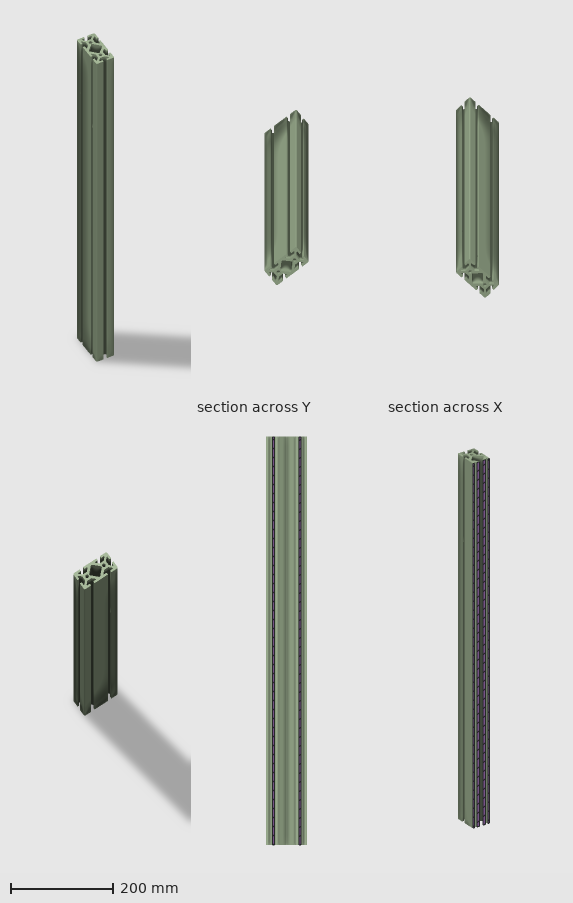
import cadquery as cq
import math

length = 800.0
cell = 40.0
width = 2 * cell
half_cell = cell / 2
outer_corner_radius = 2.6

slot_opening = 8.0
lip_thickness = 4.5
lip_radius = 1.0
chamber_width = 22.0

core_half = 8.0
bore_diameter = 7.0

web_offset = 3.0

diamond_reach = 15.6
diamond_corner_radius = 2.0


def slot(center_x, angle):
    """T-slot cutter opening towards +Y, turned by angle about the cell centre."""
    opening_half = slot_opening / 2
    chamber_half = chamber_width / 2
    lip_inner = half_cell - lip_thickness
    lip_start = opening_half + lip_radius
    right_wall = [
        (lip_start, lip_inner),
        (chamber_half, lip_inner),
        (chamber_half, chamber_half + web_offset),
        (core_half - web_offset, core_half),
    ]
    left_wall = [(-x, y) for x, y in reversed(right_wall)]
    cutter = (
        cq.Workplane("XY")
        .moveTo(-lip_start, half_cell)
        .lineTo(lip_start, half_cell)
        .radiusArc((opening_half, half_cell - lip_radius), -lip_radius)
        .lineTo(opening_half, lip_inner + lip_radius)
        .radiusArc((lip_start, lip_inner), -lip_radius)
        .polyline(right_wall[1:] + left_wall, includeCurrent=True)
        .radiusArc((-opening_half, lip_inner + lip_radius), -lip_radius)
        .lineTo(-opening_half, half_cell - lip_radius)
        .radiusArc((-lip_start, half_cell), -lip_radius)
        .close()
        .extrude(length)
    )
    return cutter.rotate((0, 0, 0), (0, 0, 1), angle).translate((center_x, 0, 0))


def central_hollow():
    """Square passage turned 45 degrees, with rounded corners."""
    side = diamond_reach * math.sqrt(2)
    hollow = cq.Workplane("XY").rect(side, side).extrude(length)
    return hollow.edges("|Z").fillet(diamond_corner_radius).rotate((0, 0, 0), (0, 0, 1), 45)


def bore(center_x):
    """Round hole along the core of one cell."""
    return cq.Workplane("XY").center(center_x, 0).circle(bore_diameter / 2).extrude(length)


profile = cq.Workplane("XY").box(width, cell, length, centered=(True, True, False))
profile = profile.edges("|Z").fillet(outer_corner_radius)
profile = profile.cut(central_hollow())

for cell_x, end_angle in ((-half_cell, 90), (half_cell, -90)):
    for slot_angle in (0, 180, end_angle):
        profile = profile.cut(slot(cell_x, slot_angle))
    profile = profile.cut(bore(cell_x))

result = profile